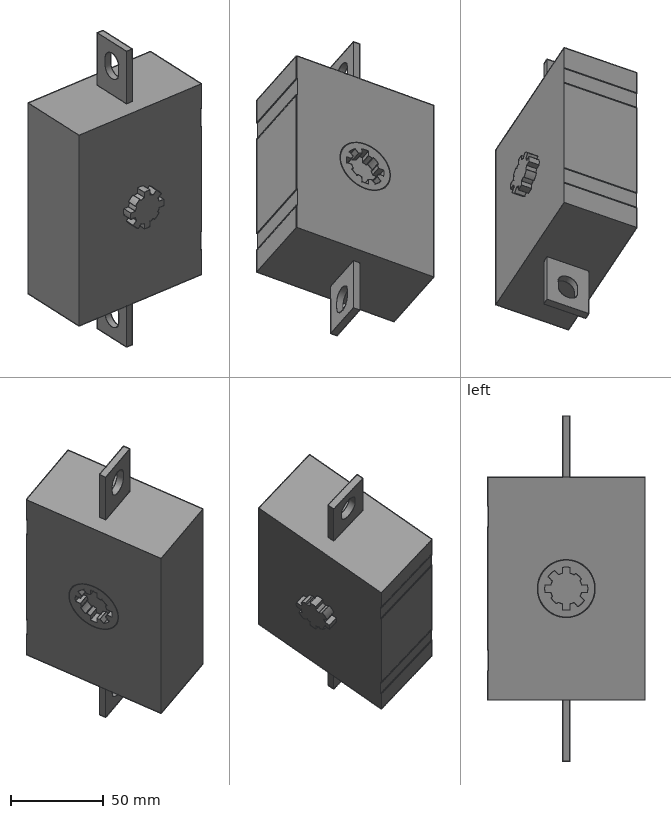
import cadquery as cq

overall_x = 49.5
overall_y = 85.0
overall_z = 186.0

body_x = 43.5
body_y = overall_y
body_z = 120.0
groove_depth = 0.5
groove_width = 11.3
groove_z = 38.7
edge_chamfer = 0.3

tab_width = 25.0
tab_thickness = 4.0
tab_length = (overall_z - body_z) / 2
slot_width = 11.5
slot_length = 16.0
slot_edge_distance = 15.0
slot_z = overall_z / 2 - slot_edge_distance

stub_length = overall_x - body_x
socket_depth = 6.5
spline_core_radius = 8.5
spline_tooth_radius = 11.6
spline_lobe_radius = 9.6
square_tooth_width = 4.0
diagonal_tooth_width = 4.8
lobe_width = 4.4

ring_outer_radius = 15.6
ring_clearance = 0.25
ring_depth = socket_depth


def disc_along_x(x_start, length, radius):
    return cq.Workplane("YZ", origin=(x_start, 0, 0)).circle(radius).extrude(length)


def make_tooth_pair(x_start, length, radius, width, angle):
    """Two opposite parallel-sided teeth with round tips, turned about the X axis."""
    bar = cq.Workplane("YZ", origin=(x_start, 0, 0)).rect(2 * radius + width, width).extrude(length)
    pair = bar.intersect(disc_along_x(x_start, length, radius))
    return pair.rotate((0, 0, 0), (1, 0, 0), angle)


def make_spline(x_start, length):
    """Round core with four square teeth, two diagonal teeth and two shorter lobes."""
    spline = disc_along_x(x_start, length, spline_core_radius)
    tooth_pairs = (
        (spline_tooth_radius, square_tooth_width, 0),
        (spline_tooth_radius, square_tooth_width, 90),
        (spline_tooth_radius, diagonal_tooth_width, 45),
        (spline_lobe_radius, lobe_width, -45),
    )
    for radius, width, angle in tooth_pairs:
        spline = spline.union(make_tooth_pair(x_start, length, radius, width, angle))
    return spline


def make_body():
    """Housing block, its upright -X/+Y edge chamfered, with the two grooves cut."""
    body = cq.Workplane("XY").box(body_x, body_y, body_z)
    body = body.edges("|Z and >Y and <X").chamfer(edge_chamfer)
    groove = cq.Workplane("XY").box(body_x, groove_depth, groove_width)
    groove_y = (body_y - groove_depth) / 2
    for side in (1, -1):
        body = body.cut(groove.translate((0, groove_y, side * groove_z)))
    return body


def make_tab(side):
    """Mounting tab with an upright slot; side is +1 for the top and -1 for the bottom."""
    tab = cq.Workplane("XY").box(tab_width, tab_thickness, tab_length)
    tab = tab.translate((0, 0, side * (body_z + tab_length) / 2))
    slot = (
        cq.Workplane("XZ", origin=(0, 0, side * slot_z))
        .slot2D(slot_length, slot_width, 90)
        .extrude(tab_thickness, both=True)
    )
    return tab.cut(slot)


def make_ring():
    inner_radius = ring_outer_radius - ring_clearance
    ring = cq.Workplane("YZ", origin=(-body_x / 2, 0, 0))
    return ring.circle(ring_outer_radius).circle(inner_radius).extrude(ring_depth)


part = make_body()
for tab_side in (1, -1):
    part = part.union(make_tab(tab_side))
part = part.union(make_spline(body_x / 2, stub_length))
part = part.cut(make_spline(-body_x / 2, socket_depth))
part = part.cut(make_ring())

result = part